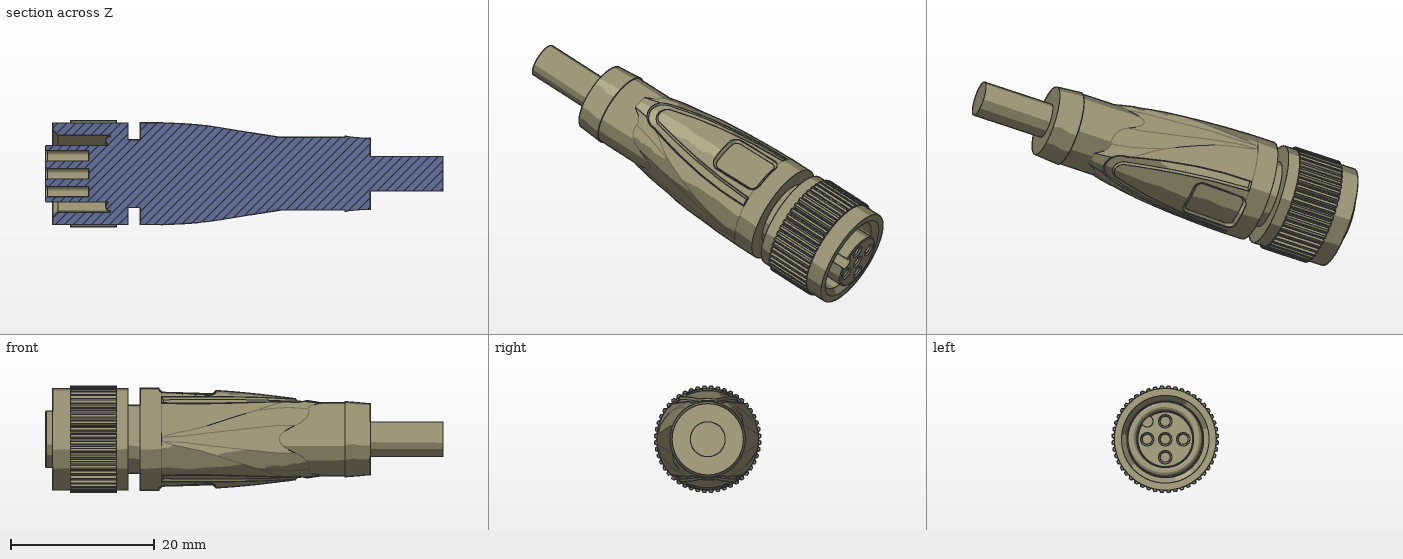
import cadquery as cq
import math


NUT_FRONT = 1.0
KNURL_FRONT = 3.5
KNURL_REAR = 9.85
NUT_REAR = 11.5
BODY_FRONT = 13.15
GRIP_FRONT = 16.15
GRIP_REAR = 38.3
COLLAR_FRONT = 41.65
COLLAR_REAR = 45.2
CABLE_END = 55.3

NUT_RADIUS = 7.08
NECK_RADIUS = 4.75
BODY_RADIUS = 7.1
REAR_RADIUS = 5.1
COLLAR_FRONT_RADIUS = 5.25
COLLAR_REAR_RADIUS = 4.95
CABLE_RADIUS = 2.43

KNURL_RADIUS = 7.403
TOOTH_COUNT = 48
TOOTH_PITCH = 360 / TOOTH_COUNT
TIP_SHARE = 0.36
ROOT_SHARE = 0.20

BORE_RADIUS = 5.35
BORE_MOUTH_RADIUS = 6.1
BORE_FLOOR = 9.0
INSERT_RADIUS = 3.95
INSERT_CHAMFER = 0.15
SEAL_RADIUS = 0.62
SEAL_RING_RADIUS = INSERT_RADIUS + SEAL_RADIUS
CONTACT_OFFSET = 2.5
CONTACT_RADIUS = 0.7
CONTACT_MOUTH_RADIUS = 0.93
CONTACT_MOUTH_DEPTH = 0.25
CONTACT_DEPTH = 6.0
KEY_RADIUS = 0.8
KEY_OFFSET = 2.5

CROWN_MID = (28.0, 6.45)
SIDE_SECTIONS = [
    (7.2, 0.3, 6.9, 7.6, 7.0),
    (BODY_RADIUS, 0.5, 6.7, 7.4, 7.0),
    (6.93, 1.0, 6.05, 7.25, 7.0),
    (6.55, 1.9, 5.15, 7.1, 7.0),
    (5.95, 2.6, 3.97, 6.85, 5.5),
    (5.35, 3.2, 2.45, 6.4, 3.6),
    (4.75, 3.5, 1.15, 5.85, 3.0),
    (4.3, 2.95, 0.8, 5.14, 3.5),
]
SECTION_SPACING = (GRIP_REAR - GRIP_FRONT) / (len(SIDE_SECTIONS) - 2)

GROOVE_DEPTH = 0.25
GROOVE_WALL = 0.24
GROOVE_BEND_X = 34.0
GROOVE_MID_X = 25.6
GROOVE_OUTER_HALF_WIDTHS = (4.95, 4.3, 2.4)
GROOVE_INNER_HALF_WIDTHS = (3.9, 3.05, 1.25)
GROOVE_OUTER_TIP = 36.4
GROOVE_INNER_TIP = 34.75

POCKET_FRONT_FLOOR = 6.6
POCKET_REAR_FLOOR = 6.3
POCKET_WALL = 0.42
POCKET_FRONT = 15.8
POCKET_REAR = 23.7
POCKET_HALF_WIDTH = 2.93
POCKET_CORNER = 1.2

CUT_OVERRUN = 0.05
CLEARANCE = 1.0


def rod(radius, x_start, x_end, y=0, z=0):
    """Cylinder along X."""
    return cq.Workplane("YZ", origin=(x_start, y, z)).circle(radius).extrude(x_end - x_start)


def cone(radius_start, radius_end, x_start, x_end, y=0, z=0):
    """Truncated cone along X."""
    axis_start = cq.Vector(x_start, y, z)
    solid = cq.Solid.makeCone(radius_start, radius_end, x_end - x_start, axis_start, cq.Vector(1, 0, 0))
    return cq.Workplane(solid)


def polar(radius, degrees):
    angle = math.radians(degrees)
    return (radius * math.cos(angle), radius * math.sin(angle))


def make_knurl():
    outline = []
    half_tip = TOOTH_PITCH * TIP_SHARE / 2
    half_root_start = TOOTH_PITCH * (1 - ROOT_SHARE) / 2
    for i in range(TOOTH_COUNT):
        center = (i + 0.5) * TOOTH_PITCH
        outline.append(polar(NUT_RADIUS, center - half_root_start))
        outline.append(polar(KNURL_RADIUS, center - half_tip))
        outline.append(polar(KNURL_RADIUS, center + half_tip))
        outline.append(polar(NUT_RADIUS, center + half_root_start))
    knurl = cq.Workplane("YZ", origin=(KNURL_FRONT, 0, 0)).polyline(outline).close()
    return knurl.extrude(KNURL_REAR - KNURL_FRONT)


def make_nut():
    nut = rod(NUT_RADIUS, NUT_FRONT, NUT_REAR).union(make_knurl())
    mouth_depth = BORE_MOUTH_RADIUS - BORE_RADIUS
    mouth = cone(BORE_MOUTH_RADIUS, BORE_RADIUS, NUT_FRONT, NUT_FRONT + mouth_depth)
    return nut.cut(rod(BORE_RADIUS, NUT_FRONT, BORE_FLOOR)).cut(mouth)


def make_insert():
    insert = rod(INSERT_RADIUS, 0, NUT_REAR).faces("<X").chamfer(INSERT_CHAMFER)
    insert = insert.cut(rod(KEY_RADIUS, 0, BORE_FLOOR, KEY_OFFSET, KEY_OFFSET))
    contacts = [(0, 0)]
    for side in (-1, 1):
        contacts.append((side * CONTACT_OFFSET, 0))
        contacts.append((0, side * CONTACT_OFFSET))
    for y, z in contacts:
        insert = insert.cut(rod(CONTACT_RADIUS, 0, CONTACT_DEPTH, y, z))
        mouth = cone(CONTACT_MOUTH_RADIUS, CONTACT_RADIUS, 0, CONTACT_MOUTH_DEPTH, y, z)
        insert = insert.cut(mouth)
    return insert


def make_seal():
    """O-ring around the insert, half sunk in the bore floor."""
    ring = cq.Solid.makeTorus(SEAL_RING_RADIUS, SEAL_RADIUS, cq.Vector(BORE_FLOOR, 0, 0), cq.Vector(1, 0, 0))
    return cq.Workplane(ring)


def crown(inset):
    """Turned body of the grip, with its surface moved inwards by inset."""
    front_radius = BODY_RADIUS - inset
    profile = (
        cq.Workplane("XY")
        .moveTo(BODY_FRONT, 0)
        .lineTo(BODY_FRONT, front_radius)
        .lineTo(GRIP_FRONT, front_radius)
        .threePointArc((CROWN_MID[0], CROWN_MID[1] - inset), (GRIP_REAR, REAR_RADIUS - inset))
        .lineTo(GRIP_REAR, 0)
        .close()
    )
    return profile.revolve(360, (0, 0, 0), (1, 0, 0))


def side_section(x, width, upright, top_width, height, shoulder):
    """Eight-sided wire across the grip with rounded shoulders, from half sizes."""
    upper = [(width, upright), (top_width, height), (-top_width, height), (-width, upright)]
    lower = [(-y, -z) for y, z in upper]
    sketch = cq.Sketch().polygon(upper + lower + upper[:1]).vertices(">X or <X").fillet(shoulder)
    placed = sketch.moved(cq.Location(cq.Plane.YZ(origin=(x, 0, 0))))
    return placed.val().Faces()[0].outerWire()


def make_side_trim():
    """Narrowing body whose flat sides give the grip its wedge-shaped flanks."""
    wires = []
    for i, sizes in enumerate(SIDE_SECTIONS):
        wires.append(side_section(GRIP_FRONT + (i - 1) * SECTION_SPACING, *sizes))
    trim = cq.Workplane(cq.Solid.makeLoft(wires))
    return trim.union(rod(BODY_RADIUS + CLEARANCE, BODY_FRONT, GRIP_FRONT))


def tongue(half_widths, tip):
    """Upright prism with a tongue-shaped outline pointing to the rear."""
    front, middle, bend = half_widths
    outline = (
        cq.Workplane("XY")
        .moveTo(GRIP_FRONT, -front)
        .threePointArc((GROOVE_MID_X, -middle), (GROOVE_BEND_X, -bend))
        .threePointArc((tip, 0), (GROOVE_BEND_X, bend))
        .threePointArc((GROOVE_MID_X, middle), (GRIP_FRONT, front))
        .close()
    )
    return outline.extrude(BODY_RADIUS + CLEARANCE, both=True)


def sunken_tool(prism, core, wall):
    """Cutter that sinks the prism's outline from the crown down to the core, with sloped walls."""
    upper_half = cq.Workplane("XY").box(CABLE_END, 2 * KNURL_RADIUS, KNURL_RADIUS, (False, True, False))
    shell = prism.intersect(crown(-CUT_OVERRUN)).cut(core).intersect(upper_half)
    skin_and_floor = sorted(shell.faces().vals(), key=lambda face: face.Area())[-2:]
    floor = min(skin_and_floor, key=lambda face: face.Center().z)
    shell = shell.newObject(floor.Edges()).chamfer(wall)
    return shell.union(shell.mirror("XY"))


def make_grooves():
    band = tongue(GROOVE_OUTER_HALF_WIDTHS, GROOVE_OUTER_TIP)
    band = band.cut(tongue(GROOVE_INNER_HALF_WIDTHS, GROOVE_INNER_TIP))
    return sunken_tool(band, crown(GROOVE_DEPTH), GROOVE_WALL)


def make_pockets():
    length = POCKET_REAR - POCKET_FRONT
    outline = cq.Workplane("XY").center(POCKET_FRONT + length / 2, 0).rect(length, 2 * POCKET_HALF_WIDTH)
    prism = outline.extrude(BODY_RADIUS + CLEARANCE, both=True).edges("|Z").fillet(POCKET_CORNER)
    core = cone(POCKET_FRONT_FLOOR, POCKET_REAR_FLOOR, POCKET_FRONT - CLEARANCE, POCKET_REAR + CLEARANCE)
    return sunken_tool(prism, core, POCKET_WALL)


def make_grip():
    grip = crown(0).intersect(make_side_trim())
    grip = grip.union(rod(REAR_RADIUS, BODY_FRONT, COLLAR_FRONT))
    return grip.cut(make_grooves()).cut(make_pockets())


neck = rod(NECK_RADIUS, NUT_REAR, BODY_FRONT)
collar = cone(COLLAR_FRONT_RADIUS, COLLAR_REAR_RADIUS, COLLAR_FRONT, COLLAR_REAR)
cable = rod(CABLE_RADIUS, COLLAR_REAR, CABLE_END)

result = make_nut().union(make_insert()).union(make_seal())
result = result.union(neck).union(make_grip()).union(collar).union(cable)